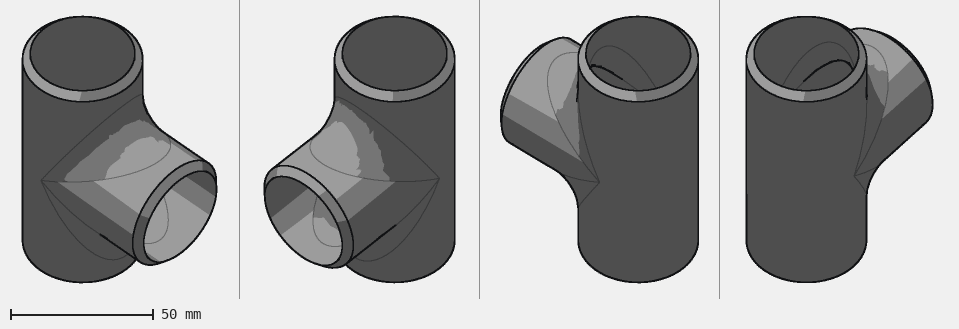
import cadquery as cq
import math

run_length = 95.2
outer_diameter = 42.2
wall = 2.8
branch_reach = 47.6
blend_reach = 37.7

outer_radius = outer_diameter / 2
bore_radius = outer_radius - wall
bevel = wall
blend_angle_steps = 24
blend_width_steps = 40
surface_tolerance = 0.001
join_tolerance = 0.02


def cylinder(radius, start, length, axis):
    """Cylinder along the given axis, starting at a point on that axis."""
    origin = axis * start
    return cq.Workplane(cq.Solid.makeCylinder(radius, length, origin, axis))


def crotch_blend(pipe_radius):
    """Wedge in the +X +Z crotch whose curved face is tangent to both pipes.

    Every section across Y is the same quarter arc, scaled with the half width
    of the pipes there, so the blend runs out to a point at each side.
    """
    center = blend_reach / pipe_radius
    arc_radius = center - 1

    def blend_point(across, along):
        side_angle = math.pi * (across - 0.5)
        arc_angle = math.pi / 2 * along
        half_width = pipe_radius * math.cos(side_angle)
        return cq.Vector(
            half_width * (center - arc_radius * math.cos(arc_angle)),
            pipe_radius * math.sin(side_angle),
            half_width * (center - arc_radius * math.sin(arc_angle)),
        )

    points = [
        [
            blend_point(width_step / blend_width_steps, angle_step / blend_angle_steps)
            for angle_step in range(blend_angle_steps + 1)
        ]
        for width_step in range(blend_width_steps + 1)
    ]
    curved_face = cq.Face.makeSplineApprox(points, tol=surface_tolerance, minDeg=3, maxDeg=8)
    side_edges = [edge for edge in curved_face.Edges() if edge.Length() > pipe_radius]
    axis_edge = cq.Edge.makeLine(cq.Vector(0, -pipe_radius, 0), cq.Vector(0, pipe_radius, 0))
    flat_faces = [
        cq.Face.makeFromWires(cq.Wire.assembleEdges([edge, axis_edge])) for edge in side_edges
    ]
    shell = cq.Shell.makeShell([curved_face] + flat_faces)
    return cq.Workplane(cq.Solid.makeSolid(shell))


def tee_body(radius):
    """Solid run and branch cylinders joined by the two crotch blends."""
    upper_blend = crotch_blend(radius)
    lower_blend = upper_blend.mirror("XY")
    run = cylinder(radius, -run_length / 2, run_length, cq.Vector(0, 0, 1))
    branch = cylinder(radius, 0, branch_reach, cq.Vector(1, 0, 0))
    return run.union(branch).union(upper_blend, tol=join_tolerance).union(lower_blend, tol=join_tolerance)


def bevel_cutter(axis, reach):
    """Ring that bevels the outer rim of the pipe end at the given reach."""
    cone = cq.Solid.makeCone(outer_radius, bore_radius, bevel, axis * (reach - bevel), axis)
    return cylinder(2 * outer_radius, reach - bevel, bevel, axis).cut(cq.Workplane(cone))


result = tee_body(outer_radius).cut(tee_body(bore_radius))

pipe_ends = [
    (cq.Vector(0, 0, 1), run_length / 2),
    (cq.Vector(0, 0, -1), run_length / 2),
    (cq.Vector(1, 0, 0), branch_reach),
]
for end_axis, end_reach in pipe_ends:
    result = result.cut(bevel_cutter(end_axis, end_reach))